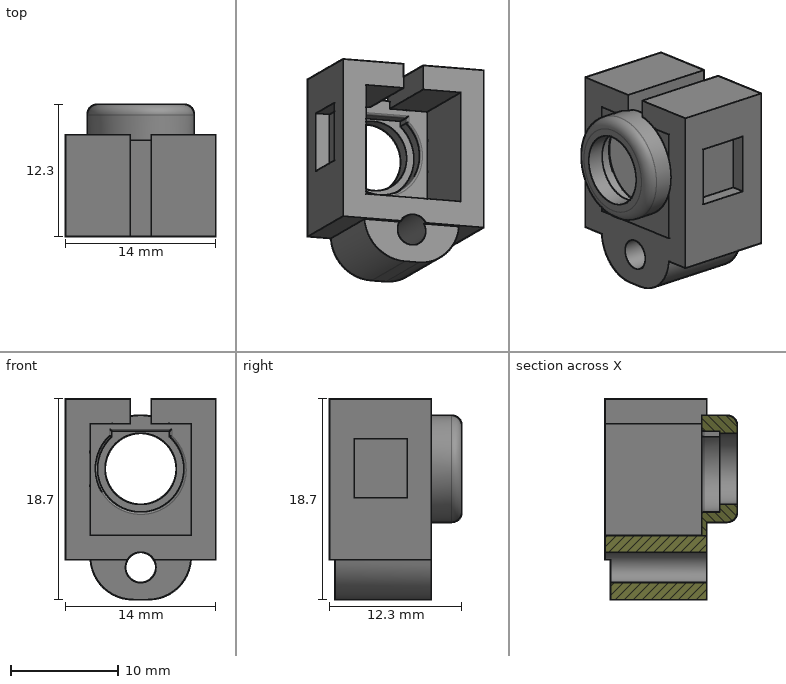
import cadquery as cq
import math


housing_width = 14.0
housing_depth = 9.5
housing_height = 15.0
bore_to_housing_bottom = 8.49
housing_bottom = -bore_to_housing_bottom
housing_top = housing_bottom + housing_height

wall = 2.3
cavity_width = housing_width - 2 * wall
cavity_height = housing_height - 2 * wall
cavity_bottom = housing_bottom + wall
slot_width = 1.95

pocket_depth = 1.35
pocket_length = 4.95
pocket_height = 5.5
pocket_front = 2.3
pocket_bottom = -2.7

overall_height = 18.7
lug_length = 9.0
lug_corner_radius = 4.0
lug_drop = overall_height - housing_height
lug_bottom = housing_bottom - lug_drop
lug_hole_diameter = 2.8
lug_hole_z = housing_bottom - 0.7

overall_depth = 12.35
plate_thickness = 0.5
plate_front = housing_depth - plate_thickness
barrel_diameter = 10.0
barrel_length = overall_depth - plate_front
barrel_rim_radius = 1.0
bore_diameter = 6.6

recess_radius = 4.02
recess_key_half_width = 2.67
recess_flat_z = 3.5
recess_depth = 1.68
recess_mouth_radius = 0.2


def block(width, length, height, front, bottom):
    """Box centred on X = 0, starting at the given front Y and bottom Z."""
    return (
        cq.Workplane("XY", origin=(0, front, bottom))
        .box(width, length, height, centered=(True, False, False))
    )


def cylinder(diameter, length, front, z=0):
    """Cylinder along +Y, starting at the given front Y."""
    return (
        cq.Workplane("XZ", origin=(0, front, z))
        .circle(diameter / 2)
        .extrude(-length)
    )


def make_cavity_plug():
    """Block with the cavity's cross-section that fills its back end."""
    return block(cavity_width, plate_thickness, cavity_height, plate_front, cavity_bottom)


def make_barrel():
    """Solid round barrel with a rounded back rim."""
    barrel = cylinder(barrel_diameter, barrel_length, plate_front)
    return barrel.faces(">Y").edges().fillet(barrel_rim_radius)


def make_lug():
    """Lug with rounded lower corners, reaching up to the cavity floor."""
    lug_height = cavity_bottom - lug_bottom
    lug_front = housing_depth - lug_length
    lug = block(cavity_width, lug_length, lug_height, lug_front, lug_bottom)
    return lug.edges("|Y and <Z").fillet(lug_corner_radius)


def make_recess():
    """Round recess with a flat, square-cornered key at its top."""
    key_base_z = math.sqrt(recess_radius**2 - recess_key_half_width**2)
    return (
        cq.Workplane("XZ", origin=(0, plate_front, 0))
        .moveTo(recess_key_half_width, key_base_z)
        .threePointArc((0, -recess_radius), (-recess_key_half_width, key_base_z))
        .lineTo(-recess_key_half_width, recess_flat_z)
        .lineTo(recess_key_half_width, recess_flat_z)
        .close()
        .extrude(-recess_depth)
    )


def make_housing():
    body = block(housing_width, housing_depth, housing_height, 0, housing_bottom)
    body = body.union(make_lug())

    body = body.cut(block(cavity_width, housing_depth, cavity_height, 0, cavity_bottom))
    body = body.cut(block(slot_width, housing_depth, housing_top, 0, 0))

    pocket_x = housing_width / 2 - pocket_depth / 2
    for side in (-1, 1):
        pocket = block(pocket_depth, pocket_length, pocket_height, pocket_front, pocket_bottom)
        body = body.cut(pocket.translate((side * pocket_x, 0, 0)))

    body = body.cut(cylinder(lug_hole_diameter, housing_depth, 0, lug_hole_z))

    return body.cut(cylinder(barrel_diameter, plate_thickness, plate_front))


def make_lens_holder():
    holder = make_cavity_plug().union(make_barrel())
    holder = holder.cut(make_recess())

    mouth_edges = cq.selectors.BoxSelector(
        (-recess_radius - 0.19, plate_front - 0.19, -recess_radius - 0.19),
        (recess_radius + 0.19, plate_front + 0.19, recess_flat_z + 0.19),
        boundingbox=True,
    )
    holder = holder.edges(mouth_edges).fillet(recess_mouth_radius)
    return holder.cut(cylinder(bore_diameter, barrel_length, plate_front))


housing = make_housing()
lens_holder = make_lens_holder()

result = cq.Compound.makeCompound([housing.val(), lens_holder.val()])